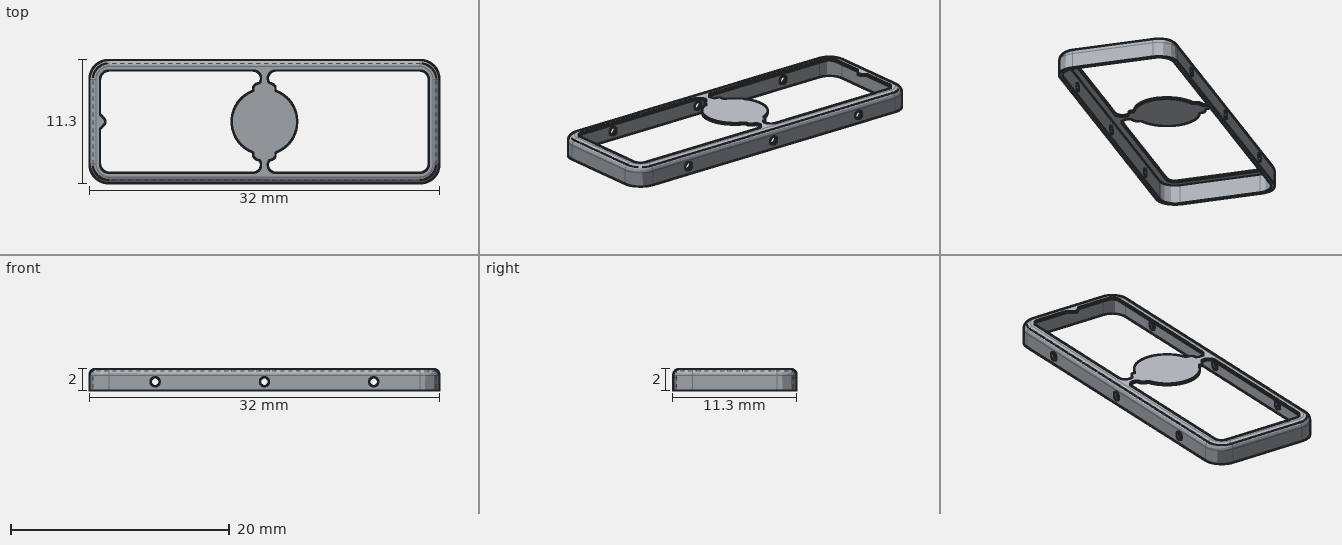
import cadquery as cq
import math

length = 32.0
width = 11.3
height = 2.0
wall = 0.32
lip_reach = 1.0
corner_radius = 1.8
top_round = 0.6
inner_length = length - 2 * lip_reach
inner_width = width - 2 * lip_reach

hole_diameter = 0.8
hole_spacing = 10.0
hole_height = 0.8

plate_thickness = 0.2
plate_bottom = height - plate_thickness
disc_radius = 3.0

neck_half_width = 0.32
flare_radius = 0.7
flare_center_x = neck_half_width + flare_radius
flare_center_y = inner_width / 2 - flare_radius
flare_end_angle = math.radians(215)
shoulder_half_width = 1.02
shoulder_height = 3.17
shoulder_bulge = (0.83, 3.4)
foot_fillet = 0.13

tab_reach = 0.48
tab_half_width = 0.67
tab_tip_radius = 0.4

overlap = 0.32


def rounded_block(inset, block_height):
    """Block inset evenly from the outer outline, standing on the base plane."""
    block = cq.Workplane("XY").box(
        length - 2 * inset, width - 2 * inset, block_height, centered=(True, True, False)
    )
    return block.edges("|Z").fillet(corner_radius - inset)


def make_frame():
    outer = rounded_block(0, height).faces(">Z").edges().fillet(top_round)
    pocket = rounded_block(wall, plate_bottom)
    opening = rounded_block(lip_reach, height)
    return outer.cut(pocket).cut(opening)


def make_neck():
    """Neck on the +Y side: flared at the lip, waisted, then stepped out to a shoulder."""
    lip_y = inner_width / 2
    flare_end = (
        flare_center_x + flare_radius * math.cos(flare_end_angle),
        flare_center_y + flare_radius * math.sin(flare_end_angle),
    )
    half = (
        cq.Workplane("XY", origin=(0, 0, plate_bottom))
        .moveTo(0, 0)
        .lineTo(0, lip_y + overlap)
        .lineTo(flare_center_x, lip_y + overlap)
        .lineTo(flare_center_x, lip_y)
        .threePointArc((neck_half_width, flare_center_y), flare_end)
        .threePointArc(shoulder_bulge, (shoulder_half_width, shoulder_height))
        .lineTo(shoulder_half_width, 0)
        .close()
        .extrude(plate_thickness)
    )
    return half.union(half.mirror("YZ"))


def make_disc():
    disc = cq.Workplane("XY", origin=(0, 0, plate_bottom)).circle(disc_radius).extrude(plate_thickness)
    neck = make_neck()
    disc = disc.union(neck).union(neck.mirror("XZ"))
    corner_y = math.sqrt(disc_radius**2 - shoulder_half_width**2)
    for x in (-shoulder_half_width, shoulder_half_width):
        for y in (-corner_y, corner_y):
            corner = cq.selectors.NearestToPointSelector((x, y, plate_bottom + plate_thickness / 2))
            disc = disc.edges("|Z").edges(corner).fillet(foot_fillet)
    return disc


def make_tab():
    """Tab with straight flanks tangent to a round tip."""
    root_x = -inner_length / 2
    tip_center_x = root_x + tab_reach - tab_tip_radius
    root_distance = math.hypot(tab_half_width, tip_center_x - root_x)
    flank_angle = math.acos(tab_tip_radius / root_distance)
    root_angle = math.atan2(tab_half_width, root_x - tip_center_x)
    tangent_angle = root_angle - flank_angle
    tangent_x = tip_center_x + tab_tip_radius * math.cos(tangent_angle)
    tangent_y = tab_tip_radius * math.sin(tangent_angle)
    return (
        cq.Workplane("XY", origin=(0, 0, plate_bottom))
        .moveTo(root_x - overlap, -tab_half_width)
        .lineTo(root_x, -tab_half_width)
        .lineTo(tangent_x, -tangent_y)
        .threePointArc((root_x + tab_reach, 0), (tangent_x, tangent_y))
        .lineTo(root_x, tab_half_width)
        .lineTo(root_x - overlap, tab_half_width)
        .close()
        .extrude(plate_thickness)
    )


def make_cross_holes():
    return (
        cq.Workplane("XZ")
        .pushPoints([(i * hole_spacing, hole_height) for i in (-1, 0, 1)])
        .circle(hole_diameter / 2)
        .extrude(width, both=True)
    )


result = make_frame().union(make_disc()).union(make_tab()).cut(make_cross_holes())